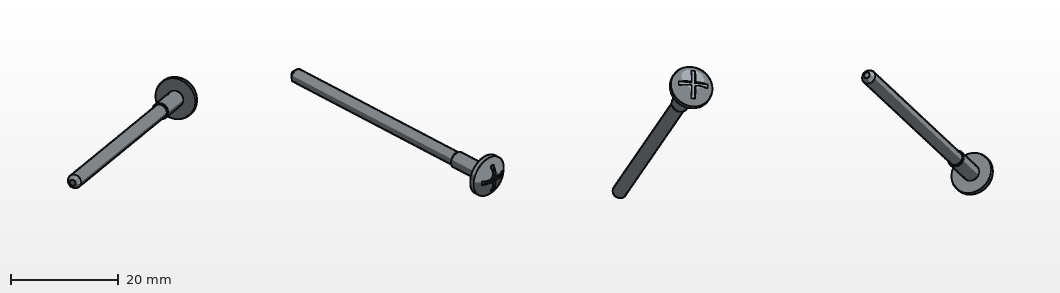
import cadquery as cq
import math

total_length = 52.4
half_length = total_length / 2

head_diameter = 8.0
rim_thickness = 0.95
dome_height = 1.45
crown_diameter = 2.6

collar_diameter = 3.2
collar_length = 7.35
taper_length = 0.15
shaft_diameter = 2.65

tip_length = 0.85
tip_diameter = 1.15

slot_width = 0.75
slot_depth = 0.6

head_top = half_length
rim_top = head_top - dome_height
head_underside = rim_top - rim_thickness
collar_end = head_underside - collar_length
taper_end = collar_end - taper_length
tip_end = -half_length
tip_start = tip_end + tip_length

head_radius = head_diameter / 2
crown_radius = crown_diameter / 2
collar_radius = collar_diameter / 2
shaft_radius = shaft_diameter / 2
tip_radius = tip_diameter / 2


def make_screw_body():
    """Revolve the half profile of the head, shank and tip about the Y axis."""
    center_below_rim = (head_radius**2 - crown_radius**2 - dome_height**2) / (2 * dome_height)
    dome_radius = math.hypot(head_radius, center_below_rim)
    dome_mid_x = (head_radius + crown_radius) / 2
    dome_mid_y = rim_top - center_below_rim + math.sqrt(dome_radius**2 - dome_mid_x**2)
    return (
        cq.Workplane("XY")
        .moveTo(0, tip_end)
        .lineTo(tip_radius, tip_end)
        .lineTo(shaft_radius, tip_start)
        .lineTo(shaft_radius, taper_end)
        .lineTo(collar_radius, collar_end)
        .lineTo(collar_radius, head_underside)
        .lineTo(head_radius, head_underside)
        .lineTo(head_radius, rim_top)
        .threePointArc((dome_mid_x, dome_mid_y), (crown_radius, head_top))
        .lineTo(0, head_top)
        .close()
        .revolve(360, (0, 0, 0), (0, 1, 0))
    )


def make_cross_slot():
    """Two crossing bars that cut right across the crown and out through the dome."""
    slot_center = (0, head_top - slot_depth / 2, 0)
    bar_along_x = cq.Workplane("XY").box(head_diameter, slot_depth, slot_width)
    bar_along_z = cq.Workplane("XY").box(slot_width, slot_depth, head_diameter)
    return bar_along_x.union(bar_along_z).translate(slot_center)


result = make_screw_body().cut(make_cross_slot())